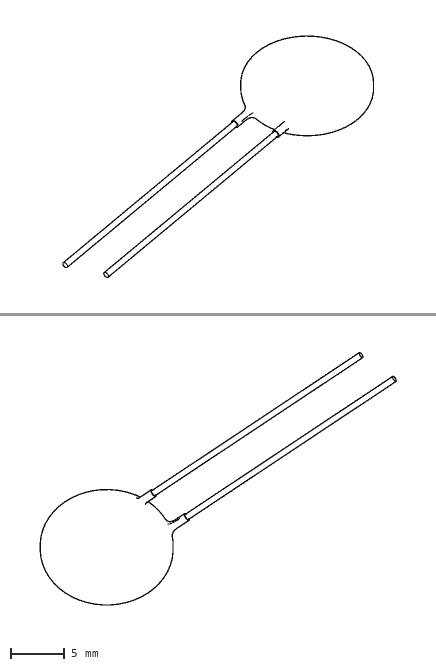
import cadquery as cq
import math


disc_diameter = 12.5
disc_thickness = 1.8
rim_radius = 0.6

overall_length = 38.95
overall_height = 2.5

lead_diameter = 0.6
lead_pitch = 5.0
bead_diameter = 0.78
bead_fillet = 1.15
neck_length = 1.4

bend_radius = 2.0
slant_angle = 33.0
corner_y = -1.6
bead_end_x = -2.05

lead_x = lead_pitch / 2
bead_radius = bead_diameter / 2
lead_z = overall_height / 2 - bead_radius
neck_end_y = -disc_diameter / 2 - neck_length
lead_length = overall_length - disc_diameter - neck_length

JOINT_TOLERANCE = 0.0005
FACE_ANGLES = (0, 180)


def make_disc():
    """Flat disc with rounded rims."""
    disc = cq.Workplane("XY").circle(disc_diameter / 2).extrude(disc_thickness / 2, both=True)
    return disc.faces("|Z").edges().fillet(rim_radius)


def on_each_face(upper_body):
    """Copies of an upper-face body on both faces, half a turn apart about the Y axis."""
    return [upper_body.rotate((0, 0, 0), (0, 1, 0), angle) for angle in FACE_ANGLES]


def make_bead():
    """Round bead along the covered part of the upper lead, with a ball end."""
    slant = math.radians(slant_angle)
    half_turn = (math.pi / 2 - slant) / 2
    tangent_length = bend_radius * math.tan(half_turn)

    bend_start = (lead_x, corner_y - tangent_length)
    bend_middle = (
        lead_x - bend_radius * (1 - math.cos(half_turn)),
        bend_start[1] + bend_radius * math.sin(half_turn),
    )
    bend_end = (
        lead_x - tangent_length * math.cos(slant),
        corner_y + tangent_length * math.sin(slant),
    )
    bead_end = (bead_end_x, corner_y + (lead_x - bead_end_x) * math.tan(slant))

    centreline = (
        cq.Workplane("XY", origin=(0, 0, lead_z))
        .moveTo(lead_x, neck_end_y)
        .lineTo(*bend_start)
        .threePointArc(bend_middle, bend_end)
        .lineTo(*bead_end)
    )
    bead = (
        cq.Workplane("XZ", origin=(lead_x, neck_end_y, lead_z))
        .circle(bead_radius)
        .sweep(centreline)
    )
    ball_end = cq.Workplane("XY").sphere(bead_radius).translate((*bead_end, lead_z))
    return bead.union(ball_end)


def lies_on_surface(edge, body):
    """True if the middle of the edge is on the skin of the body."""
    middle = cq.Vertex.makeVertex(*edge.positionAt(0.5).toTuple())
    return any(face.distance(middle) < JOINT_TOLERANCE for face in body.val().Faces())


def make_coating():
    """Disc with a bead on each face, blended together by one wide fillet."""
    disc = make_disc()
    beads = on_each_face(make_bead())

    coating = disc
    for bead in beads:
        coating = coating.union(bead)

    joint_edges = [
        edge
        for edge in coating.edges().vals()
        if lies_on_surface(edge, disc) and any(lies_on_surface(edge, bead) for bead in beads)
    ]
    return coating.newObject(joint_edges).fillet(bead_fillet)


def make_lead():
    """Bare wire that continues the upper bead toward -Y."""
    return (
        cq.Workplane("XZ", origin=(lead_x, neck_end_y, lead_z))
        .circle(lead_diameter / 2)
        .extrude(lead_length)
    )


coating = make_coating()

leads = on_each_face(make_lead())

result = cq.Compound.makeCompound([coating.val(), *[lead.val() for lead in leads]])